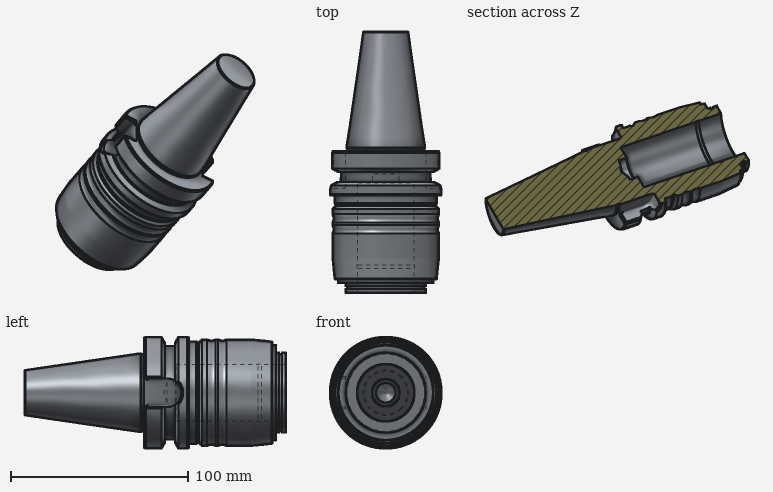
import cadquery as cq
import math


GAUGE_RADIUS = 44.45 / 2
SHANK_LENGTH = 65.4
TAPER_SLOPE = 7 / 24 / 2
SHANK_END_RADIUS = GAUGE_RADIUS - SHANK_LENGTH * TAPER_SLOPE
SHANK_END_CHAMFER = 0.5
NECK_RADIUS = 21.9
NECK_START = -0.6

FLANGE_RADIUS = 63 / 2
FLANGE_FACE = -2.0
FLANGE_CHAMFER_LENGTH = 1.0
FLANGE_CHAMFER_DEPTH = 0.5
V_START = -11.75
V_END = -21.45
V_FLANK_LENGTH = 2.1
V_FLANK_ANGLE = 60
V_FLANK_DEPTH = V_FLANK_LENGTH * math.tan(math.radians(V_FLANK_ANGLE))
V_FLOOR_RADIUS = 26.5
FLANGE_BACK = -27.2

COLLAR_RADIUS = 28.9
COLLAR_END = -31.4
STEP_RADIUS = 28.3
STEP_START = -32.2

NUT_RADIUS = 30.0
NUT_CONE_START = -33.0
NUT_CONE_END = -34.75
GRIP_WIDTH = 4.75
GRIP_DEPTH = 0.6
GRIP_STARTS = (-37.6, -43.75)
CROWN_START = -62.4
CROWN_END = -73.9
CROWN_CHAMFER = 0.4
CROWN_END_RADIUS = 28.8
CROWN_SAG = 0.1
LIP_RADIUS = 27.0
LIP_END = -76.5
LIP_CHAMFER = 0.4

NOSE_END = -82.0
NOSE_RADIUS = 22.6
NOSE_CHAMFER = 0.2
NOSE_GROOVE_RADIUS = 21.8
NOSE_GROOVE_START = -78.1
NOSE_GROOVE_END = -79.7

BORE_RADIUS = 16.0
BORE_DEPTH = 62.0
MOUTH_CHAMFER = 0.3
BORE_GROOVE_DISTANCE = 13.8
BORE_GROOVE_WIDTH = 2.0
BORE_GROOVE_DEPTH = 0.3
RECESS_RADIUS = 7.6
RECESS_CHAMFER = 0.3
RECESS_DEPTH = 5.0
DRILL_RADIUS = 5.55
DRILL_POINT_ANGLE = 140

SLOT_HALF_WIDTH = 8.05
SLOT_FLOOR = 22.6
SLOT_ARC_CENTER = -15.0
SLOT_FLOOR_FILLET = 1.0
SLOT_EDGE_CHAMFER = 1.0
CUT_CLEARANCE = 1.0
TOLERANCE = 1e-3


def outer_body():
    """Revolve the outer outline, written as (radius, Y) from shank to nose."""
    outline = (
        cq.Workplane("XY")
        .moveTo(0, SHANK_LENGTH)
        .lineTo(SHANK_END_RADIUS - SHANK_END_CHAMFER, SHANK_LENGTH)
        .lineTo(SHANK_END_RADIUS + SHANK_END_CHAMFER * TAPER_SLOPE, SHANK_LENGTH - SHANK_END_CHAMFER)
        .lineTo(GAUGE_RADIUS, 0)
        .lineTo(NECK_RADIUS, NECK_START)
        .lineTo(NECK_RADIUS, FLANGE_FACE)
        .lineTo(FLANGE_RADIUS - FLANGE_CHAMFER_DEPTH, FLANGE_FACE)
        .lineTo(FLANGE_RADIUS, FLANGE_FACE - FLANGE_CHAMFER_LENGTH)
        .lineTo(FLANGE_RADIUS, V_START)
        .lineTo(FLANGE_RADIUS - V_FLANK_DEPTH, V_START - V_FLANK_LENGTH)
        .lineTo(V_FLOOR_RADIUS, V_START - V_FLANK_LENGTH)
        .lineTo(V_FLOOR_RADIUS, V_END + V_FLANK_LENGTH)
        .lineTo(FLANGE_RADIUS - V_FLANK_DEPTH, V_END + V_FLANK_LENGTH)
        .lineTo(FLANGE_RADIUS, V_END)
        .lineTo(FLANGE_RADIUS, FLANGE_BACK + FLANGE_CHAMFER_LENGTH)
        .lineTo(FLANGE_RADIUS - FLANGE_CHAMFER_DEPTH, FLANGE_BACK)
        .lineTo(COLLAR_RADIUS, FLANGE_BACK)
        .lineTo(COLLAR_RADIUS, COLLAR_END)
        .lineTo(STEP_RADIUS, STEP_START)
        .lineTo(STEP_RADIUS, NUT_CONE_START)
        .lineTo(NUT_RADIUS, NUT_CONE_END)
    )
    for start in GRIP_STARTS:
        outline = (
            outline.lineTo(NUT_RADIUS, start)
            .threePointArc(
                (NUT_RADIUS - GRIP_DEPTH, start - GRIP_WIDTH / 2),
                (NUT_RADIUS, start - GRIP_WIDTH),
            )
        )
    crown_middle_radius = (NUT_RADIUS + CROWN_END_RADIUS) / 2 + CROWN_SAG
    crown_middle = (CROWN_START + CROWN_END) / 2
    outline = (
        outline.lineTo(NUT_RADIUS, CROWN_START)
        .threePointArc((crown_middle_radius, crown_middle), (CROWN_END_RADIUS, CROWN_END))
        .lineTo(CROWN_END_RADIUS - CROWN_CHAMFER, CROWN_END - CROWN_CHAMFER)
        .lineTo(LIP_RADIUS, CROWN_END - CROWN_CHAMFER)
        .lineTo(LIP_RADIUS, LIP_END + LIP_CHAMFER)
        .lineTo(LIP_RADIUS - LIP_CHAMFER, LIP_END)
        .lineTo(NOSE_RADIUS, LIP_END)
        .lineTo(NOSE_RADIUS, NOSE_GROOVE_START)
        .lineTo(NOSE_GROOVE_RADIUS, NOSE_GROOVE_START)
        .lineTo(NOSE_GROOVE_RADIUS, NOSE_GROOVE_END)
        .lineTo(NOSE_RADIUS, NOSE_GROOVE_END)
        .lineTo(NOSE_RADIUS, NOSE_END + NOSE_CHAMFER)
        .lineTo(NOSE_RADIUS - NOSE_CHAMFER, NOSE_END)
        .lineTo(0, NOSE_END)
        .close()
    )
    return outline.revolve(360, (0, 0), (0, 1)).rotate((0, 0, 0), (0, 1, 0), -90)


def bore_cutter():
    """Stepped blind bore from the nose, ending in a drill point."""
    groove_start = NOSE_END + BORE_GROOVE_DISTANCE
    groove_end = groove_start + BORE_GROOVE_WIDTH
    groove_radius = BORE_RADIUS + BORE_GROOVE_DEPTH
    bore_floor = NOSE_END + BORE_DEPTH
    recess_floor = bore_floor + RECESS_DEPTH
    drill_tip = recess_floor + DRILL_RADIUS / math.tan(math.radians(DRILL_POINT_ANGLE / 2))
    return (
        cq.Workplane("XY")
        .moveTo(0, NOSE_END)
        .lineTo(BORE_RADIUS + MOUTH_CHAMFER, NOSE_END)
        .lineTo(BORE_RADIUS, NOSE_END + MOUTH_CHAMFER)
        .lineTo(BORE_RADIUS, groove_start)
        .lineTo(groove_radius, groove_start)
        .lineTo(groove_radius, groove_end)
        .lineTo(BORE_RADIUS, groove_end)
        .lineTo(BORE_RADIUS, bore_floor)
        .lineTo(RECESS_RADIUS + RECESS_CHAMFER, bore_floor)
        .lineTo(RECESS_RADIUS, bore_floor + RECESS_CHAMFER)
        .lineTo(RECESS_RADIUS, recess_floor)
        .lineTo(DRILL_RADIUS, recess_floor)
        .lineTo(0, drill_tip)
        .close()
        .revolve(360, (0, 0), (0, 1))
    )


def slot_cutter():
    """Round-ended slot on the +X side, with a filleted floor and a flared mouth."""
    height = FLANGE_RADIUS - SLOT_FLOOR + CUT_CLEARANCE
    mouth_half_width = SLOT_HALF_WIDTH + SLOT_EDGE_CHAMFER
    floor_plane = cq.Workplane("YZ", origin=(SLOT_FLOOR, 0, 0))
    slot = (
        floor_plane.moveTo(0, SLOT_HALF_WIDTH)
        .lineTo(SLOT_ARC_CENTER, SLOT_HALF_WIDTH)
        .threePointArc(
            (SLOT_ARC_CENTER - SLOT_HALF_WIDTH, 0),
            (SLOT_ARC_CENTER, -SLOT_HALF_WIDTH),
        )
        .lineTo(0, -SLOT_HALF_WIDTH)
        .close()
        .extrude(height)
        .faces("<X")
        .edges("not(>Y)")
        .fillet(SLOT_FLOOR_FILLET)
    )
    mouth = (
        floor_plane.moveTo(FLANGE_FACE, mouth_half_width)
        .lineTo(FLANGE_FACE - mouth_half_width, 0)
        .lineTo(FLANGE_FACE, -mouth_half_width)
        .close()
        .extrude(height)
    )
    return slot.union(mouth)


def rim_edges(body):
    """Edges where the slot walls meet the full flange diameter."""
    found = []
    for edge in body.edges().vals():
        points = [edge.positionAt(t) for t in (0, 0.5, 1)]
        on_rim = all(abs(math.hypot(p.x, p.z) - FLANGE_RADIUS) < TOLERANCE for p in points)
        middle = points[1]
        if on_rim and abs(middle.z) < SLOT_HALF_WIDTH + TOLERANCE and edge.geomType() != "CIRCLE":
            found.append(edge)
    return found


body = outer_body().cut(bore_cutter())
slot = slot_cutter()
body = body.cut(slot).cut(slot.mirror("YZ"))
result = body.newObject(rim_edges(body)).chamfer(SLOT_EDGE_CHAMFER)